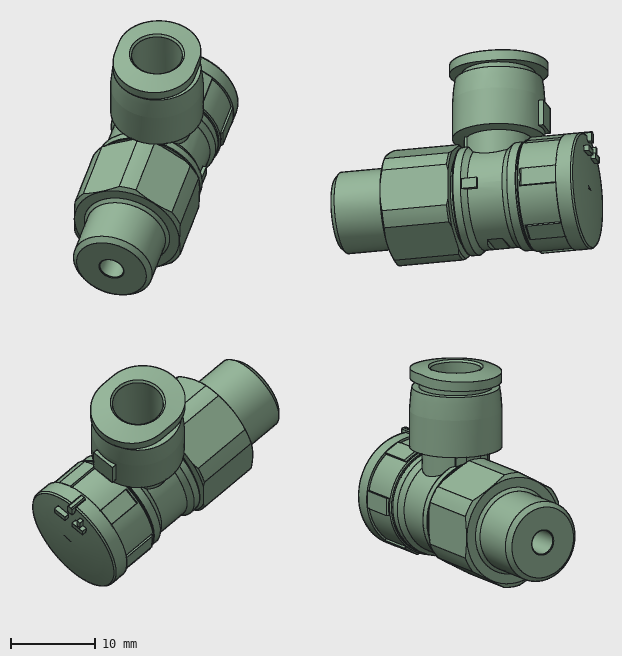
import cadquery as cq
import math


tip_y = -19.45
thread_start_y = -13.2
hex_front_y = -12.85
hex_back_y = -4.45
front_flange_y = -4.0
back_flange_y = 3.77
cap_back_y = 4.0
rim_back_y = 8.85
rim_front_y = 10.9
cap_top_y = 11.3
mark_top_y = 11.72

thread_d = 9.72
thread_chamfer = 0.55
thread_root_r = 5.27
hex_flats = 13.0
hex_corner_d = 13.95
hex_face_r = 6.45
hex_front_chamfer = 0.28
hex_back_chamfer = 0.2
hex_back_r = 6.73

neck_r = 5.45
flange_r = 6.45
waist_r = 5.95
groove_r = 6.3
shoulder_r = 6.25
flange_length = 1.03
flange_bevel_length = 0.12
flange_bevel_height = 0.05
shoulder_length = 0.25
cone_length = 0.47

cap_rim_d = 13.85
cap_rim_bevel = 0.22
cap_skirt_d = 13.3
cap_skirt_bevel = 0.15
cap_face_r = 6.75
pad_count = 6
pad_width = 2.12
pad_r = 6.82
pad_end_y = 4.35
pad_end_bevel = 0.22

rib_width = 0.75
rib_start_y = 9.25
rib_end_y = 11.5
rib_bottom_z = 6.08
rib_top_z = 7.3
rib_bevel = 0.15
mark_inner_x = 0.6
mark_length = 1.75
mark_bottom_z = 4.18
mark_height = 0.7
stub_center_x = -1.5
stub_width = 0.5
stub_top_z = 5.83
stub_top_y = 11.55
mark_root_y = 10.28

stem_d = 7.98
port_bottom_z = 7.3
port_cone_z = 7.5
port_arc_z = 12.0
port_top_z = 14.8
collar_bottom_z = 15.67
collar_edge_z = 16.8
collar_top_z = 17.25
port_d = 11.0
port_top_r = 5.2
sleeve_d = 8.72
collar_width = 9.88
collar_length = 11.78
web_width = 4.42
web_face_width = 1.93
web_side_y = -3.58
plate_width = 3.12
plate_bottom_z = 8.23
plate_top_z = 11.35
plate_face_y = 5.9

tube_hole_d = 6.0
tube_hole_floor_z = 8.1
tube_hole_chamfer = 0.25
chamber_d = 5.0
chamber_floor_z = 0.0
ledge_z = 6.23
chamber_flats = 4.2
bore_d = 2.9
bore_chamfer = 0.1
bore_end_y = 0.62

relief_z = -5.67
relief_floor_length = 1.8
relief_mouth_length = 2.43
lug_face_x = 6.35
lug_front_y = -2.85
lug_back_y = -0.97
lug_height = 1.25


def turned_y(points):
    """Revolve a (radius, y) outline about the Y axis."""
    return cq.Workplane("XY").polyline(points).close().revolve(360, (0, 0, 0), (0, 1, 0))


def box(x_range, y_range, z_range):
    """Box between pairs of limits."""
    size = [high - low for low, high in (x_range, y_range, z_range)]
    corner = (x_range[0], y_range[0], z_range[0])
    return cq.Workplane("XY").box(*size, centered=False).translate(corner)


def make_thread():
    """Plain thread envelope, bevelled at the tip and flared where it joins the hexagon."""
    radius = thread_d / 2
    return turned_y([
        (0, tip_y),
        (radius - thread_chamfer, tip_y),
        (radius, tip_y + thread_chamfer),
        (radius, thread_start_y),
        (thread_root_r, hex_front_y),
        (thread_root_r, hex_back_y),
        (0, hex_back_y),
    ])


def make_hexagon():
    """Hexagon with corners rounded by a turned envelope that also bevels its ends."""
    corner_r = hex_corner_d / 2
    length = hex_back_y - hex_front_y
    prism = (
        cq.Workplane("XZ", origin=(0, hex_back_y, 0))
        .polygon(6, hex_flats / math.cos(math.pi / 6))
        .extrude(length)
        .rotate((0, 0, 0), (0, 1, 0), 30)
    )
    envelope = turned_y([
        (0, hex_front_y),
        (hex_face_r, hex_front_y),
        (corner_r, hex_front_y + hex_front_chamfer),
        (corner_r, hex_back_y - hex_back_chamfer),
        (hex_back_r, hex_back_y),
        (0, hex_back_y),
    ])
    return prism.intersect(envelope)


def make_waist():
    """Waisted body with a flange at each end, a shallow relief below and a side lug."""
    front_land_y = front_flange_y + flange_length
    back_land_y = back_flange_y - flange_length
    front_shoulder_y = front_land_y + shoulder_length
    back_shoulder_y = back_land_y - shoulder_length
    waist = turned_y([
        (0, hex_back_y),
        (neck_r, hex_back_y),
        (neck_r, front_flange_y),
        (flange_r - flange_bevel_height, front_flange_y),
        (flange_r, front_flange_y + flange_bevel_length),
        (flange_r, front_land_y),
        (shoulder_r, front_shoulder_y),
        (waist_r, front_shoulder_y + cone_length),
        (waist_r, back_shoulder_y - cone_length),
        (shoulder_r, back_shoulder_y),
        (flange_r, back_land_y),
        (flange_r, back_flange_y),
        (groove_r, back_flange_y),
        (groove_r, cap_back_y),
        (0, cap_back_y),
    ])
    relief = (
        cq.Workplane("YZ", origin=(-flange_r, 0, 0))
        .moveTo(-relief_floor_length / 2, relief_z)
        .lineTo(relief_floor_length / 2, relief_z)
        .lineTo(relief_mouth_length / 2, -waist_r)
        .lineTo(-relief_mouth_length / 2, -waist_r)
        .close()
        .extrude(2 * flange_r)
    )
    lug = box((0, lug_face_x), (lug_front_y, lug_back_y), (-lug_height / 2, lug_height / 2))
    return waist.cut(relief).union(lug)


def make_cap():
    """Domed cap with a wide rim and gripping pads spaced evenly around its skirt."""
    rim_r = cap_rim_d / 2
    skirt_r = cap_skirt_d / 2
    cap = (
        cq.Workplane("XY")
        .moveTo(0, cap_back_y)
        .lineTo(skirt_r - cap_skirt_bevel, cap_back_y)
        .lineTo(skirt_r, cap_back_y + cap_skirt_bevel)
        .lineTo(skirt_r, rim_back_y)
        .lineTo(rim_r, rim_back_y)
        .lineTo(rim_r, rim_front_y - cap_rim_bevel)
        .lineTo(cap_face_r, rim_front_y)
        .radiusArc((0, cap_top_y), -(cap_face_r**2 / (2 * (cap_top_y - rim_front_y))))
        .close()
        .revolve(360, (0, 0, 0), (0, 1, 0))
    )
    pad = (
        box((0, pad_r), (pad_end_y, rim_back_y), (-pad_width / 2, pad_width / 2))
        .faces("<Y").edges(">X").chamfer(pad_end_bevel)
    )
    for index in range(pad_count):
        cap = cap.union(pad.rotate((0, 0, 0), (0, 1, 0), index * 360 / pad_count))
    return cap


def make_cap_marks():
    """Bevelled pointer rib on the rim, a raised bar on each side of it and a stub above one bar."""
    rib = (
        box((-rib_width / 2, rib_width / 2), (rib_start_y, rib_end_y), (rib_bottom_z, rib_top_z))
        .faces(">Z").edges("|Y").chamfer(rib_bevel)
    )
    bar = box(
        (mark_inner_x, mark_inner_x + mark_length),
        (mark_root_y, mark_top_y),
        (mark_bottom_z, mark_bottom_z + mark_height),
    )
    stub = box(
        (stub_center_x - stub_width / 2, stub_center_x + stub_width / 2),
        (mark_root_y, stub_top_y),
        (mark_bottom_z, stub_top_z),
    )
    return rib.union(bar).union(bar.mirror("YZ")).union(stub)


def make_port():
    """Vertical port: stem, barrel, sleeve and collar, with a web and a raised plate."""
    port_r = port_d / 2
    sleeve_r = sleeve_d / 2
    arc_height = port_top_z - port_arc_z
    arc_inset = port_r - port_top_r
    arc_r = (arc_height**2 + arc_inset**2) / (2 * arc_inset)
    barrel = (
        cq.Workplane("XZ")
        .moveTo(0, 0)
        .lineTo(stem_d / 2, 0)
        .lineTo(stem_d / 2, port_bottom_z)
        .lineTo(port_r, port_cone_z)
        .lineTo(port_r, port_arc_z)
        .radiusArc((port_top_r, port_top_z), -arc_r)
        .lineTo(sleeve_r, port_top_z)
        .lineTo(sleeve_r, collar_bottom_z)
        .lineTo(0, collar_bottom_z)
        .close()
        .revolve(360, (0, 0, 0), (0, 1, 0))
    )
    web = (
        cq.Workplane("XY")
        .polyline([
            (-web_width / 2, 0),
            (-web_width / 2, web_side_y),
            (-web_face_width / 2, front_flange_y),
            (web_face_width / 2, front_flange_y),
            (web_width / 2, web_side_y),
            (web_width / 2, 0),
        ])
        .close()
        .extrude(port_cone_z)
    )
    plate = box((-plate_width / 2, plate_width / 2), (0, plate_face_y), (plate_bottom_z, plate_top_z))
    return barrel.union(web).union(plate).union(make_collar())


def make_collar():
    """Oval release collar whose top falls away as a cone."""
    oval = (
        cq.Workplane("XY", origin=(0, 0, collar_bottom_z))
        .slot2D(collar_length, collar_width, 90)
        .extrude(collar_top_z - collar_bottom_z)
    )
    mouth_r = tube_hole_d / 2 + tube_hole_chamfer
    cone = (
        cq.Workplane("XZ")
        .polyline([
            (0, collar_bottom_z),
            (collar_length / 2, collar_bottom_z),
            (collar_length / 2, collar_edge_z),
            (mouth_r, collar_top_z),
            (0, collar_top_z),
        ])
        .close()
        .revolve(360, (0, 0, 0), (0, 1, 0))
    )
    return oval.intersect(cone)


def make_passages():
    """Stepped tube hole, flat-sided chamber below it and the round-ended bore from the tip."""
    tube_r = tube_hole_d / 2
    chamber_r = chamber_d / 2
    hole = (
        cq.Workplane("XZ")
        .polyline([
            (0, ledge_z),
            (chamber_r, ledge_z),
            (chamber_r, tube_hole_floor_z),
            (tube_r, tube_hole_floor_z),
            (tube_r, collar_top_z - tube_hole_chamfer),
            (tube_r + tube_hole_chamfer, collar_top_z),
            (0, collar_top_z),
        ])
        .close()
        .revolve(360, (0, 0, 0), (0, 1, 0))
    )
    chamber = (
        cq.Workplane("XY", origin=(0, 0, chamber_floor_z))
        .circle(chamber_r)
        .extrude(ledge_z - chamber_floor_z)
        .intersect(box(
            (-chamber_r, chamber_r),
            (-chamber_flats / 2, chamber_flats / 2),
            (chamber_floor_z, ledge_z),
        ))
    )
    bore = turned_y([
        (0, tip_y),
        (bore_d / 2 + bore_chamfer, tip_y),
        (bore_d / 2, tip_y + bore_chamfer),
        (bore_d / 2, bore_end_y),
        (0, bore_end_y),
    ])
    bore_end = cq.Workplane("XY", origin=(0, bore_end_y, 0)).sphere(bore_d / 2)
    return hole.union(chamber).union(bore).union(bore_end)


result = (
    make_thread()
    .union(make_hexagon())
    .union(make_waist())
    .union(make_cap())
    .union(make_cap_marks())
    .union(make_port())
    .cut(make_passages())
)